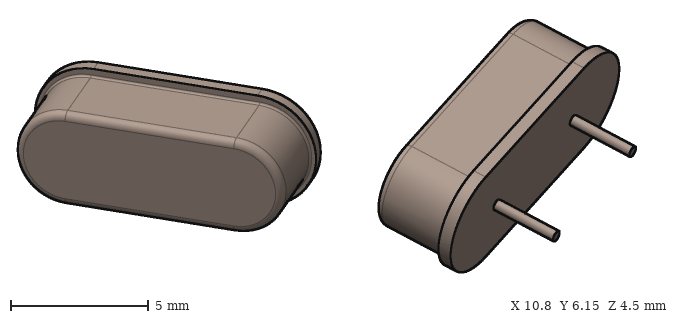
import cadquery as cq


flange_length = 10.8
flange_height = 4.5
flange_thickness = 0.54

can_height = 3.81
can_straight = 6.48
can_length = can_straight + can_height
can_depth = 2.97
front_edge_radius = 0.3
root_radius = 0.09

lead_diameter = 0.43
lead_length = 2.64
lead_spacing = 4.88


def stadium(length, height, y_back, depth):
    """Solid with a stadium section, running from y_back toward -Y."""
    return (
        cq.Workplane("XZ", origin=(0, y_back, 0))
        .slot2D(length, height)
        .extrude(depth)
    )


def make_case():
    """Flange and can in one piece, with a rounded front and a filleted root."""
    flange = stadium(flange_length, flange_height, 0, flange_thickness)
    can = stadium(can_length, can_height, -flange_thickness, can_depth)
    can = can.faces("<Y").edges().fillet(front_edge_radius)

    root_margin = root_radius / 2
    root_edges = cq.selectors.BoxSelector(
        (-can_length / 2 - root_margin, -flange_thickness - root_margin, -can_height / 2 - root_margin),
        (can_length / 2 + root_margin, -flange_thickness + root_margin, can_height / 2 + root_margin),
        boundingbox=True,
    )
    return flange.union(can).edges(root_edges).fillet(root_radius)


def make_lead(x):
    """Round lead standing on the back of the flange."""
    return cq.Workplane("XZ", origin=(x, 0, 0)).circle(lead_diameter / 2).extrude(-lead_length)


case = make_case()
leads = [make_lead(side * lead_spacing / 2) for side in (-1, 1)]

result = cq.Compound.makeCompound([case.val(), *[lead.val() for lead in leads]])